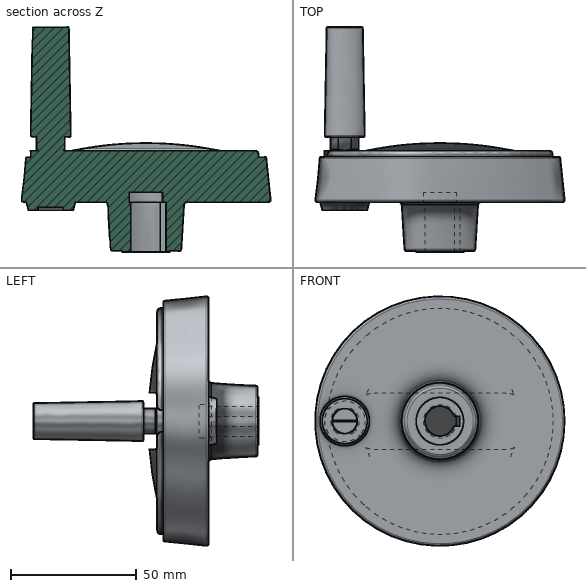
import cadquery as cq
import math


rim_radius = 50.0
rim_back_radius = 48.1
rim_width = 18.2
rim_front_fillet = 1.0
rim_back_fillet = 0.7
plate_radius = 45.2
plate_back = 20.7
plate_fillet = 1.7

dome_radius = 31.4
dome_height = 3.5
channel_width = 22.5
channel_fillet = 0.9

hub_length = 19.6
hub_base_radius = 15.4
hub_end_radius = 14.2
hub_fillet = 1.0
sleeve_diameter = 19.0
sleeve_end = 20.0
bore_diameter = 12.0
keyed_depth = 20.0
relief_diameter = 13.3
relief_length = 4.0
key_width = 4.0
key_reach = 8.0

handle_offset = -38.0
boss_diameter = 16.4
neck_diameter = 11.4
neck_flats = 10.2
neck_chamfer = 0.6
handle_start = 26.0
handle_end = 70.0
handle_base_radius = 8.1
handle_tip_radius = 7.3
handle_base_fillet = 0.7
handle_tip_fillet = 0.6

button_height = 3.2
button_base_radius = 9.9
button_tip_radius = 9.0
screw_diameter = 10.0
screw_recess = 0.1
slot_width = 0.5
slot_depth = 1.0


def cone(y_start, radius_start, y_end, radius_end, x_axis=0.0):
    """Solid cone or cylinder about a line parallel to Y."""
    profile = [(0, y_start), (radius_start, y_start), (radius_end, y_end), (0, y_end)]
    solid = cq.Workplane("XY").polyline(profile).close().revolve(360, (0, 0), (0, 1))
    return solid.translate((x_axis, 0, 0))


def make_wheel():
    rim = cone(0, rim_radius, rim_width, rim_back_radius)
    rim = rim.faces("<Y").edges().fillet(rim_front_fillet)
    rim = rim.faces(">Y").edges().fillet(rim_back_fillet)
    plate = cone(rim_width / 2, plate_radius, plate_back, plate_radius)
    plate = plate.faces(">Y").edges().fillet(plate_fillet)
    return rim.union(plate)


def make_dome():
    sphere_radius = (dome_radius**2 + dome_height**2) / (2 * dome_height)
    half_angle = math.asin(dome_radius / sphere_radius) / 2
    apex = plate_back + dome_height
    arc_middle = (
        sphere_radius * math.sin(half_angle),
        apex - sphere_radius * (1 - math.cos(half_angle)),
    )
    dome = (
        cq.Workplane("XY")
        .moveTo(0, plate_back)
        .lineTo(dome_radius, plate_back)
        .threePointArc(arc_middle, (0, apex))
        .close()
        .revolve(360, (0, 0), (0, 1))
    )
    channel = (
        cq.Workplane("XY")
        .box(2 * rim_radius, 2 * dome_height, channel_width)
        .faces("<Y")
        .edges("|X")
        .fillet(channel_fillet)
        .translate((0, plate_back + dome_height, 0))
    )
    return dome.cut(channel)


def make_hub():
    hub = cone(-hub_length, hub_end_radius, 0, hub_base_radius)
    hub = hub.faces("<Y").edges().fillet(hub_fillet)
    flare_profile = (
        cq.Workplane("XY")
        .lineTo(hub_base_radius + hub_fillet, 0)
        .radiusArc((hub_base_radius, -hub_fillet), -hub_fillet)
        .lineTo(0, -hub_fillet)
        .close()
    )
    flare = flare_profile.revolve(360, (0, 0), (0, 1))
    sleeve_radius = sleeve_diameter / 2
    sleeve = cone(-sleeve_end, sleeve_radius, 0, sleeve_radius)
    return hub.union(flare).union(sleeve)


def make_bore():
    bore_radius = bore_diameter / 2
    relief_radius = relief_diameter / 2
    relief_start = keyed_depth - sleeve_end
    bore = cone(-sleeve_end, bore_radius, relief_start, bore_radius)
    keyway = cq.Workplane("XY").box(key_reach, keyed_depth, key_width, centered=(False, False, True))
    keyway = keyway.translate((0, -sleeve_end, 0))
    relief = cone(relief_start, relief_radius, relief_start + relief_length, relief_radius)
    return bore.union(keyway).union(relief)


def make_handle():
    boss_radius = boss_diameter / 2
    boss = cone(rim_width / 2, boss_radius, plate_back, boss_radius, handle_offset)
    neck_radius = neck_diameter / 2
    neck = cone(plate_back, neck_radius, handle_start, neck_radius, handle_offset)
    neck = neck.faces("<Y").edges().chamfer(neck_chamfer)
    flats = cq.Workplane("XY").box(neck_diameter, 2 * handle_start, neck_flats)
    neck = neck.intersect(flats.translate((handle_offset, handle_start, 0)))
    grip = cone(handle_start, handle_base_radius, handle_end, handle_tip_radius, handle_offset)
    grip = grip.faces("<Y").edges().fillet(handle_base_fillet)
    grip = grip.faces(">Y").edges().fillet(handle_tip_fillet)
    return boss.union(neck).union(grip)


def make_button():
    button = cone(-button_height, button_tip_radius, 0, button_base_radius, handle_offset)
    screw_radius = screw_diameter / 2
    recess_floor = screw_recess - button_height
    recess = cone(-button_height, screw_radius, recess_floor, screw_radius, handle_offset)
    slot = cq.Workplane("XY").box(screw_diameter, 2 * slot_depth, slot_width)
    slot_limit = cone(-button_height, screw_radius, 0, screw_radius, handle_offset)
    slot = slot.translate((handle_offset, recess_floor, 0)).intersect(slot_limit)
    return button.cut(recess).cut(slot)


result = (
    make_wheel()
    .union(make_dome())
    .union(make_hub())
    .union(make_handle())
    .union(make_button())
    .cut(make_bore())
)